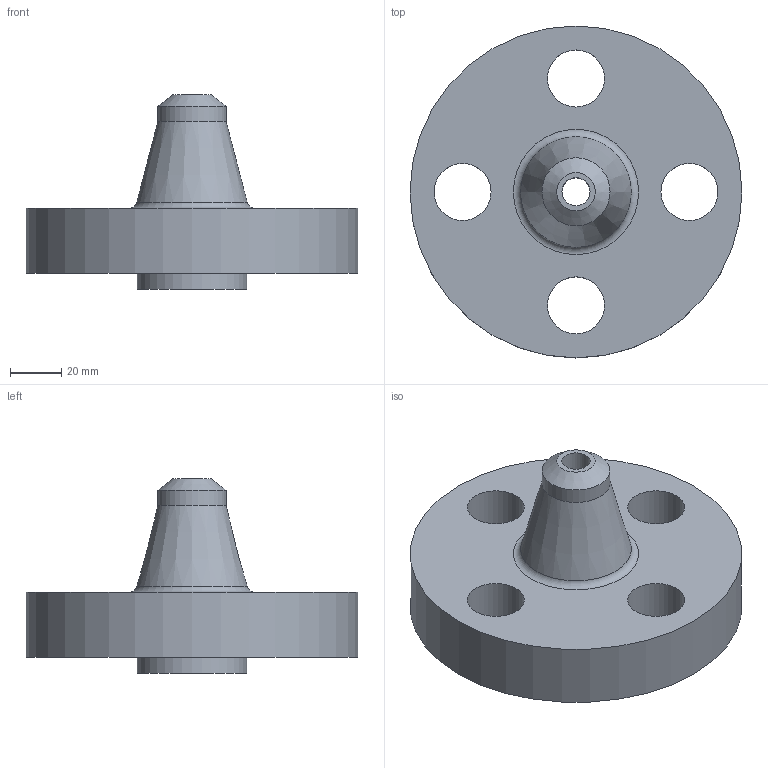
import cadquery as cq
import math

flange_diameter = 130.05
flange_thickness = 25.4
raised_face_diameter = 42.9
raised_face_height = 6.35

bolt_circle_diameter = 88.9
bolt_hole_diameter = 22.35
bolt_hole_count = 4

overall_height = 76.2
hub_base_diameter = 44.45
hub_fillet_radius = 3.0
pipe_diameter = 26.7
pipe_land_length = 6.0
bore_diameter = 11.05
weld_root_face = 2.0
weld_bevel_angle = 37.5

flange_bottom = raised_face_height
flange_top = flange_bottom + flange_thickness
weld_root_radius = bore_diameter / 2 + weld_root_face
pipe_radius = pipe_diameter / 2
bevel_height = (pipe_radius - weld_root_radius) * math.tan(math.radians(weld_bevel_angle))
bevel_bottom = overall_height - bevel_height
hub_taper_top = bevel_bottom - pipe_land_length


def make_body():
    """Revolve the flange, raised face and tapered neck about Z, then round the neck's foot."""
    flange_radius = flange_diameter / 2
    raised_face_radius = raised_face_diameter / 2
    hub_base_radius = hub_base_diameter / 2
    body = (
        cq.Workplane("XZ")
        .moveTo(0, 0)
        .lineTo(raised_face_radius, 0)
        .lineTo(raised_face_radius, flange_bottom)
        .lineTo(flange_radius, flange_bottom)
        .lineTo(flange_radius, flange_top)
        .lineTo(hub_base_radius, flange_top)
        .lineTo(pipe_radius, hub_taper_top)
        .lineTo(pipe_radius, bevel_bottom)
        .lineTo(weld_root_radius, overall_height)
        .lineTo(0, overall_height)
        .close()
        .revolve(360, (0, 0, 0), (0, 1, 0))
    )
    search_reach = hub_base_radius + hub_fillet_radius
    neck_foot = cq.selectors.BoxSelector(
        (-search_reach, -search_reach, (flange_bottom + flange_top) / 2),
        (search_reach, search_reach, hub_taper_top),
        boundingbox=True,
    )
    return body.edges(neck_foot).fillet(hub_fillet_radius)


def cut_bore(body):
    """Bore straight through the whole part along Z."""
    return body.cut(cq.Workplane("XY").circle(bore_diameter / 2).extrude(overall_height))


def cut_bolt_holes(body):
    """Drill the ring of bolt holes through the flange disc."""
    holes = (
        cq.Workplane("XY")
        .workplane(offset=flange_bottom)
        .polarArray(bolt_circle_diameter / 2, 0, 360, bolt_hole_count)
        .circle(bolt_hole_diameter / 2)
        .extrude(flange_thickness)
    )
    return body.cut(holes)


result = cut_bolt_holes(cut_bore(make_body()))